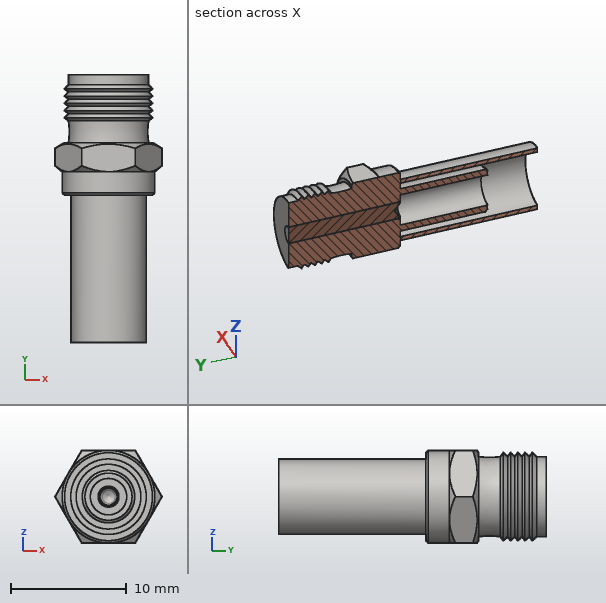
import cadquery as cq
import math

TOTAL_LENGTH = 23.1

FERRULE_LENGTH = 12.7
FERRULE_RADIUS = 3.25
FERRULE_BORE_RADIUS = 2.8

POST_LENGTH = 8.08
POST_RADIUS = 2.26
POST_CHAMFER = 0.23
POST_BORE_RADIUS = 1.57

HEX_ACROSS_CORNERS = 9.25
HEX_LENGTH = 2.52
HEX_CHAMFER_DEPTH = 0.5
HEX_MATING_FACE_RADIUS = 3.79
COLLAR_LENGTH = 2.03
COLLAR_CHAMFER = 0.2

NECK_RADIUS = 3.46
WAIST_RADIUS = 3.4
LEAD_IN_LENGTH = 0.85
THREAD_CREST_RADIUS = 3.8
THREAD_PITCH = 0.62
THREAD_CREST_OFFSET = 0.37
THREAD_RIDGES = 5

CONTACT_RADIUS = 0.83
CONTACT_RECESS_RADIUS = 0.9
CONTACT_RECESS_DEPTH = 0.23
CUP_MOUTH_RADIUS = 0.75
CUP_FLOOR_RADIUS = 0.55
CUP_DEPTH = 0.18
CUP_TIP_DEPTH = 0.32

hex_corner_radius = HEX_ACROSS_CORNERS / 2
hex_flat_radius = hex_corner_radius * math.cos(math.pi / 6)
collar_radius = hex_flat_radius
collar_start = FERRULE_LENGTH
hex_start = collar_start + COLLAR_LENGTH
hex_end = hex_start + HEX_LENGTH
thread_start = TOTAL_LENGTH - LEAD_IN_LENGTH
thread_end = thread_start - THREAD_RIDGES * THREAD_PITCH
post_tip = collar_start - POST_LENGTH


def revolve_about_y(profile):
    """Revolve a closed (radius, y) profile a full turn about the Y axis."""
    return profile.close().revolve(360, (0, 0, 0), (0, 1, 0))


def cylinder(radius, start, end):
    """Solid cylinder along Y."""
    corners = [(0, start), (radius, start), (radius, end), (0, end)]
    return revolve_about_y(cq.Workplane("XY").polyline(corners))


def make_ferrule():
    outer = cylinder(FERRULE_RADIUS, 0, FERRULE_LENGTH)
    return outer.cut(cylinder(FERRULE_BORE_RADIUS, 0, FERRULE_LENGTH))


def make_hexagon():
    """Hexagon with corners on X, both ends turned down by a conical chamfer."""
    blank = (
        cq.Workplane("XZ", origin=(0, hex_start, 0))
        .polygon(6, HEX_ACROSS_CORNERS)
        .extrude(-HEX_LENGTH)
    )
    envelope = revolve_about_y(
        cq.Workplane("XY").polyline([
            (0, hex_start),
            (hex_flat_radius, hex_start),
            (hex_corner_radius, hex_start + HEX_CHAMFER_DEPTH),
            (hex_corner_radius, hex_end - HEX_CHAMFER_DEPTH),
            (HEX_MATING_FACE_RADIUS, hex_end),
            (0, hex_end),
        ])
    )
    return blank.intersect(envelope)


def make_threaded_barrel():
    """Barrel from the mating face back to the hexagon: lead-in, thread ridges, waisted neck."""
    profile = cq.Workplane("XY").moveTo(0, TOTAL_LENGTH).lineTo(NECK_RADIUS, TOTAL_LENGTH)
    profile = profile.lineTo(NECK_RADIUS, thread_start)
    for ridge in range(THREAD_RIDGES):
        ridge_start = thread_start - ridge * THREAD_PITCH
        profile = profile.lineTo(THREAD_CREST_RADIUS, ridge_start - THREAD_CREST_OFFSET)
        profile = profile.lineTo(NECK_RADIUS, ridge_start - THREAD_PITCH)
    waist = (WAIST_RADIUS, (thread_end + hex_end) / 2)
    profile = profile.threePointArc(waist, (NECK_RADIUS, hex_end)).lineTo(0, hex_end)
    return revolve_about_y(profile)


def make_housing():
    collar = cylinder(collar_radius, collar_start, hex_start).faces("<Y").chamfer(COLLAR_CHAMFER)
    post = cylinder(POST_RADIUS, post_tip, collar_start).faces("<Y").chamfer(POST_CHAMFER)
    post_bore = cylinder(POST_BORE_RADIUS, post_tip, collar_start)
    contact_hole = cylinder(CONTACT_RADIUS, collar_start, TOTAL_LENGTH)
    recess = cylinder(CONTACT_RECESS_RADIUS, collar_start, collar_start + CONTACT_RECESS_DEPTH)
    body = make_threaded_barrel().union(make_hexagon()).union(collar).union(post)
    return body.cut(post_bore).cut(contact_hole).cut(recess)


def make_contact():
    """Contact through the housing, with a tapered solder cup that ends in a drill point."""
    return revolve_about_y(
        cq.Workplane("XY").polyline([
            (CUP_MOUTH_RADIUS, collar_start),
            (CONTACT_RADIUS, collar_start),
            (CONTACT_RADIUS, TOTAL_LENGTH),
            (0, TOTAL_LENGTH),
            (0, collar_start + CUP_DEPTH + CUP_TIP_DEPTH),
            (CUP_FLOOR_RADIUS, collar_start + CUP_DEPTH),
        ])
    )


ferrule = make_ferrule()
housing = make_housing()
contact = make_contact()

result = cq.Compound.makeCompound([ferrule.val(), housing.val(), contact.val()])